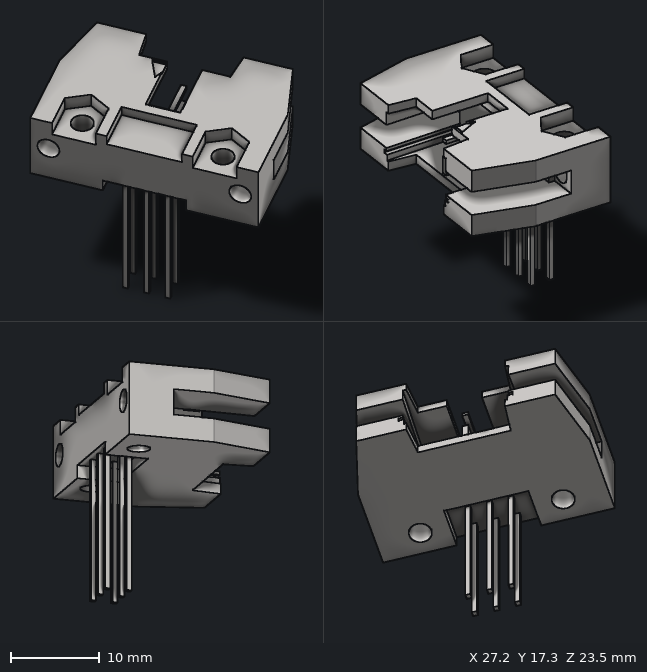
import cadquery as cq
import math

width = 27.2
depth = 17.3
body_height = 8.55
total_height = 23.5
taper_start_y = 10.0
tip_half_width = 11.67

gap_y = 13.82
gap_front_half_width = 5.8
gap_back_half_width = 5.45

arm_thickness = 2.77
throat_y = 6.05
throat_side_y = 5.28
throat_side_start_x = 10.17

upper_plate_thickness = 1.12
lower_plate_thickness = 1.2
chamber_half_width = 6.2
chamber_lower_half_width = 6.07
chamber_spread = 0.22
chamber_y = 7.4

groove_top = 6.17
groove_height = 0.4
groove_half_width = 6.7

notch_half_width = 2.07
notch_y = 6.4

rib_width = 0.7
rib_end_y = 13.52
upper_rib_bottom = 3.25
lower_rib_top = 5.17

hole_diameter = 2.6
nut_x = 8.38
nut_y = 2.85
nut_flats = 5.22
nut_pocket_depth = 1.75
cross_hole_x = 11.42
cross_hole_depth = 4.03

label_width = 8.98
label_length = 5.1
label_depth = 1.25
pin_recess_width = 9.9
pin_recess_height = 1.52

mark_width = 2.5
mark_length = 2.53
mark_depth = 0.25
mark_left_x = -3.78

pin_size = 0.6
pin_pitch = 2.53
pin_back_y = 1.03

body_bottom = -body_height
throat_top = -arm_thickness
throat_bottom = body_bottom + arm_thickness
chamber_top = -upper_plate_thickness
chamber_bottom = body_bottom + lower_plate_thickness
groove_bottom = -groove_top - groove_height
pin_recess_top = body_bottom + pin_recess_height


def block(x_limits, y_limits, z_limits):
    """Box given by its lower and upper limit along each axis."""
    limits = (x_limits, y_limits, z_limits)
    size = [high - low for low, high in limits]
    corner = tuple(low for low, high in limits)
    return cq.Workplane().box(*size, centered=False).translate(corner)


def centred_block(half_width, y_limits, z_limits):
    """Box symmetric about x = 0."""
    return block((-half_width, half_width), y_limits, z_limits)


def make_body():
    right_side = [
        (width / 2, 0),
        (width / 2, taper_start_y),
        (tip_half_width, depth),
        (gap_front_half_width, depth),
        (gap_back_half_width, gap_y),
    ]
    left_side = [(-x, y) for x, y in reversed(right_side)]
    return cq.Workplane().polyline(right_side + left_side).close().extrude(body_bottom)


def make_throat():
    z_limits = (throat_bottom, throat_top)
    full_slot = centred_block(width / 2, (throat_side_y, depth), z_limits)
    inner_step = centred_block(throat_side_start_x, (throat_side_y, throat_y), z_limits)
    return full_slot.cut(inner_step)


def make_chamber_layer(front_half_width, z_low, z_high):
    """Layer of the chamber, wider at the back than at the wing tips."""
    back_half_width = front_half_width + chamber_spread
    corners = [
        (-back_half_width, chamber_y),
        (back_half_width, chamber_y),
        (front_half_width, depth),
        (-front_half_width, depth),
    ]
    layer = cq.Workplane().workplane(offset=z_low).polyline(corners).close()
    return layer.extrude(z_high - z_low)


def make_chamber():
    """Space between the plates, with a groove and a narrower bottom part."""
    main_part = make_chamber_layer(chamber_half_width, -groove_top, chamber_top)
    groove = make_chamber_layer(groove_half_width, groove_bottom, -groove_top)
    lower_part = make_chamber_layer(chamber_lower_half_width, chamber_bottom, groove_bottom)
    return main_part.union(groove).union(lower_part)


def make_core():
    """Block that closes the throat behind the chamber."""
    half_width = chamber_half_width + chamber_spread
    return centred_block(half_width, (throat_y, chamber_y), (throat_bottom, throat_top))


def make_notch():
    return centred_block(notch_half_width, (notch_y, depth), (chamber_top, 0))


def make_ribs():
    y_limits = (chamber_y, rib_end_y)
    upper_rib = centred_block(rib_width / 2, y_limits, (-upper_rib_bottom, throat_top))
    lower_rib = centred_block(rib_width / 2, y_limits, (chamber_bottom, -lower_rib_top))
    return upper_rib.union(lower_rib)


def make_nut_seat(x):
    """Through hole under a hexagonal pocket that runs out at the back face."""
    hexagon_diameter = nut_flats / math.cos(math.pi / 6)
    hexagon = cq.Workplane().polygon(6, hexagon_diameter).extrude(-nut_pocket_depth)
    hexagon = hexagon.rotate((0, 0, 0), (0, 0, 1), 30).translate((x, nut_y, 0))
    x_limits = (x - nut_flats / 2, x + nut_flats / 2)
    run_out = block(x_limits, (0, nut_y), (-nut_pocket_depth, 0))
    hole = cq.Workplane().center(x, nut_y).circle(hole_diameter / 2).extrude(body_bottom)
    return hexagon.union(run_out).union(hole)


def make_cross_hole(x):
    """Hole along Y from the back face into the throat."""
    section = cq.Workplane("XZ").center(x, -cross_hole_depth).circle(hole_diameter / 2)
    return section.extrude(-throat_side_y)


def make_mark():
    right_x = mark_left_x + mark_width
    tip = (mark_left_x + mark_width / 2, rib_end_y - mark_length)
    corners = [(mark_left_x, rib_end_y), (right_x, rib_end_y), tip]
    return cq.Workplane().polyline(corners).close().extrude(-mark_depth)


def make_pin(x, y):
    half = pin_size / 2
    return block((x - half, x + half), (y - half, y + half), (-total_height, pin_recess_top))


core_and_ribs = make_core().union(make_ribs())
result = make_body().cut(make_throat()).cut(make_chamber()).union(core_and_ribs)

for side in (-1, 1):
    result = result.cut(make_nut_seat(side * nut_x))
    result = result.cut(make_cross_hole(side * cross_hole_x))

recess_y_limits = (0, label_length)
result = result.cut(centred_block(label_width / 2, recess_y_limits, (-label_depth, 0)))
result = result.cut(centred_block(pin_recess_width / 2, recess_y_limits, (body_bottom, pin_recess_top)))
result = result.cut(make_mark()).cut(make_notch())

for pin_x in (-pin_pitch, 0, pin_pitch):
    for pin_y in (pin_back_y, pin_back_y + pin_pitch):
        result = result.union(make_pin(pin_x, pin_y))